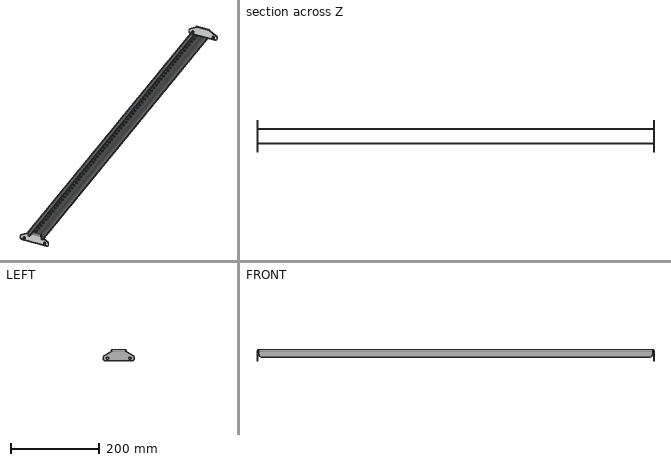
import cadquery as cq
import math

length = 899.0
flange_width = 70.6
height = 26.0
sheet = 2.0

channel_width = 35.0
channel_height = 18.0
bend_radius = 4.0
inner_radius = bend_radius - sheet
wall_end_gap = bend_radius
wall_corner_radius = 7.0

tab_width = 32.0
tip_radius = 5.0
tip_flat = 3.0
slope_angle = math.radians(30.0)
mount_hole_diameter = 5.0
mount_hole_offset = 25.5
mount_hole_height = 6.0

row_hole_diameter = 4.5
row_pitch = 12.5
row_count = 71


def bent_strip(span, drop, depth):
    """Sheet bent down at both ends of its X span, top at Z = height, legs of length drop, depth along Y."""

    def block(inset, radius):
        block_height = drop - inset
        return (
            cq.Workplane("XY")
            .box(span - 2 * inset, depth, block_height)
            .translate((0, 0, height - inset - block_height / 2))
            .edges("|Y and >Z")
            .fillet(radius)
        )

    return block(0, bend_radius).cut(block(sheet, inner_radius))


def channel():
    """Top and side walls of the channel, with the lower wall corners rounded."""
    channel_length = length - 2 * wall_end_gap
    walls = bent_strip(channel_width, channel_height, channel_length).rotate((0, 0, 0), (0, 0, 1), 90)
    wall_ends = walls.faces("<Z").edges("|Y")
    return wall_ends.fillet(wall_corner_radius)


def flange_outline():
    """Block along X with the outline of the flanges: narrow tab, sloped shoulders, round tips."""
    half_tab = tab_width / 2
    half_foot = flange_width / 2
    tip_y = half_foot - tip_radius
    tangent_y = tip_y + tip_radius * math.sin(slope_angle)
    upper_z = tip_radius + tip_flat
    tangent_z = upper_z + tip_radius * math.cos(slope_angle)
    shoulder_z = tangent_z + (tangent_y - half_tab) * math.tan(slope_angle)
    return (
        cq.Workplane("YZ", origin=(-length / 2, 0, 0))
        .moveTo(-half_tab, height)
        .lineTo(half_tab, height)
        .lineTo(half_tab, shoulder_z)
        .lineTo(tangent_y, tangent_z)
        .radiusArc((half_foot, upper_z), tip_radius)
        .lineTo(half_foot, tip_radius)
        .radiusArc((tip_y, 0), tip_radius)
        .lineTo(-tip_y, 0)
        .radiusArc((-half_foot, tip_radius), tip_radius)
        .lineTo(-half_foot, upper_z)
        .radiusArc((-tangent_y, tangent_z), tip_radius)
        .lineTo(-half_tab, shoulder_z)
        .close()
        .extrude(length)
    )


def end_flanges():
    """Strip bent down at both ends, trimmed to the flange outline and drilled."""
    mount_holes = (
        cq.Workplane("YZ", origin=(-length / 2, 0, 0))
        .pushPoints([(side * mount_hole_offset, mount_hole_height) for side in (-1, 1)])
        .circle(mount_hole_diameter / 2)
        .extrude(length)
    )
    between_flanges = cq.Workplane("XY").box(length - 2 * wall_end_gap, flange_width, 2 * height)
    strip = bent_strip(length, height, flange_width).cut(between_flanges)
    return strip.intersect(flange_outline()).cut(mount_holes)


def row_holes():
    """Evenly spaced holes along the centre line of the top."""
    return (
        cq.Workplane("XY")
        .rarray(row_pitch, 1, row_count, 1)
        .circle(row_hole_diameter / 2)
        .extrude(height)
    )


result = channel().union(end_flanges()).cut(row_holes()).clean()